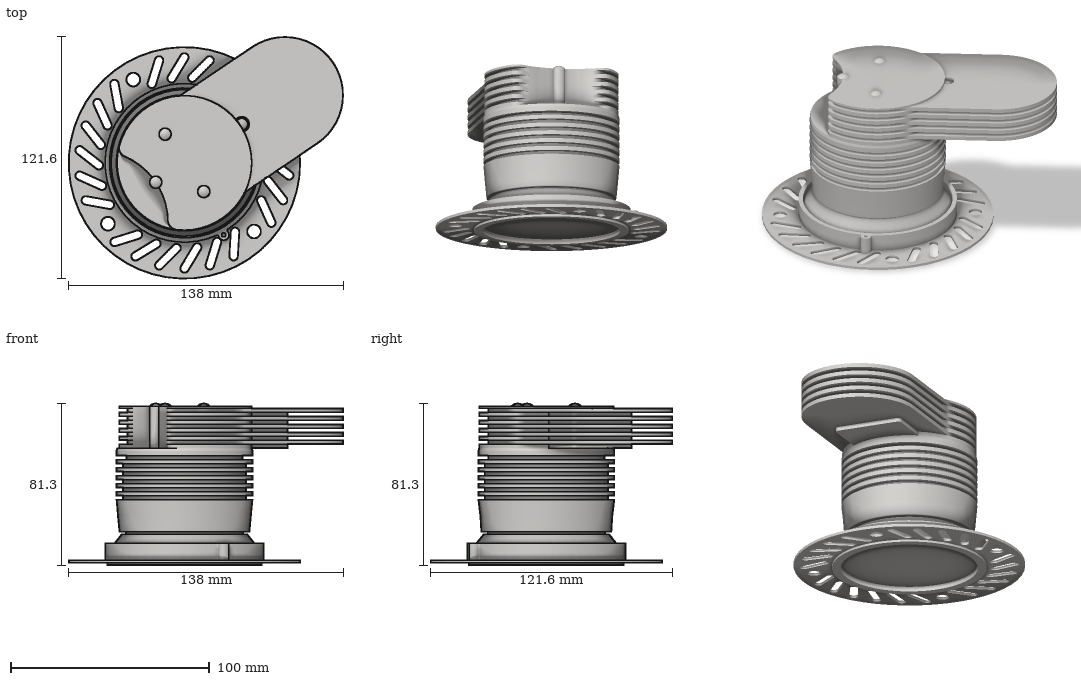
import cadquery as cq
import math

OVERALL_LENGTH = 138

FLANGE_R = 58.2
FLANGE_BOTTOM = 1.1
FLANGE_TOP = 2.5
RIM_R = 38.9
COLLAR_R = 39.9
COLLAR_TOP = 11.0
COLLAR_BORE_R = 37.7
LIP_BORE_R = 34.5

SLOT_POSITIONS = 26
SLOT_PITCH = 360 / SLOT_POSITIONS
FIRST_POSITION_ANGLE = 218.5
HOLE_POSITIONS = (0, 7, 13, 19)
SLOT_CENTRE_R = 47.9
SLOT_LENGTH = 16.4
SLOT_WIDTH = 4.1
SLOT_SKEW = 145
HOLE_CENTRE_R = 49.1
HOLE_D = 6.8

EAR_CENTRE_R = 41.3
EAR_ANGLE = -61.4
EAR_R = 2.6
EAR_HOLE_D = 2.1
EAR_FILLET = 0.8

CONE_BASE_R = 36.9
CONE_BASE_TOP = 8.8
CONE_TOP_R = 31.5
CONE_TOP = 15.6
NECK_R = 29.5
NECK_TOP = 16.7

BARREL_R = 34.2
BARREL_BOTTOM_R = 32.7
BARREL_BOTTOM_FILLET = 0.4
FINS_BOTTOM = 33.0
FIN_PITCH = 4.0
GAP_HEIGHT = FIN_PITCH / 2
GROOVE_COUNT = 6
GROOVE_R = 31.0
TOP_GROOVE_R = 29.3

HEAD_R = 33.8
HEAD_BOTTOM = 58.8
HEAD_TOP = 79.9
HEAD_LEVELS = 5
SHOULDER_CHAMFER_HEIGHT = 1.4

ARM_ANGLE = 34
ARM_R = 29.3
ARM_LENGTH = (OVERALL_LENGTH - FLANGE_R - ARM_R) / math.cos(math.radians(ARM_ANGLE))
SPACER_HALF_WIDTH = 18.0
SPACER_END = 51.5
SPACER_FILLET = 2.1

POCKET_R = 35.9
POCKET_DEPTH_R = 17.4
POCKET_CORNER_FILLET = 4.7

SCREW_R = 3.0
SCREW_HEIGHT = 1.4
SCREW_CIRCLE_R = 17.4
SCREW_ANGLES = (90, 180, 270)
ARM_SCREW_OFFSET = 34.8
ARM_SCREW_CLEARANCE_R = 3.7


def cylinder(radius, bottom, top, x=0, y=0):
    return cq.Workplane("XY", origin=(x, y, bottom)).circle(radius).extrude(top - bottom)


def polar(radius, angle):
    return radius * math.cos(math.radians(angle)), radius * math.sin(math.radians(angle))


def cut_flange_openings(ring):
    for position in range(SLOT_POSITIONS):
        angle = FIRST_POSITION_ANGLE + position * SLOT_PITCH
        if position in HOLE_POSITIONS:
            opening = cylinder(HOLE_D / 2, 0, FLANGE_TOP, *polar(HOLE_CENTRE_R, angle))
        else:
            opening = (
                cq.Workplane("XY")
                .slot2D(SLOT_LENGTH, SLOT_WIDTH, SLOT_SKEW)
                .extrude(FLANGE_TOP)
                .translate((SLOT_CENTRE_R, 0, 0))
                .rotate((0, 0, 0), (0, 0, 1), angle)
            )
        ring = ring.cut(opening)
    return ring


def make_trim_ring():
    ear_x, ear_y = polar(EAR_CENTRE_R, EAR_ANGLE)
    collar = cylinder(COLLAR_R, FLANGE_TOP, COLLAR_TOP)
    collar = collar.union(cylinder(EAR_R, FLANGE_TOP, COLLAR_TOP, ear_x, ear_y))
    collar = collar.edges("|Z").edges(
        cq.selectors.BoxSelector(
            (ear_x - 2 * EAR_R, ear_y - 2 * EAR_R, 0),
            (ear_x + 2 * EAR_R, ear_y + 2 * EAR_R, COLLAR_TOP),
        )
    ).fillet(EAR_FILLET)

    flange = cut_flange_openings(cylinder(FLANGE_R, FLANGE_BOTTOM, FLANGE_TOP))
    ring = cylinder(RIM_R, 0, FLANGE_BOTTOM).union(flange).union(collar)
    ring = ring.cut(cylinder(LIP_BORE_R, 0, FLANGE_TOP))
    ring = ring.cut(cylinder(COLLAR_BORE_R, FLANGE_TOP, COLLAR_TOP))
    return ring.cut(cylinder(EAR_HOLE_D / 2, FLANGE_TOP, COLLAR_TOP, ear_x, ear_y))


def make_cone():
    return (
        cq.Workplane("XZ")
        .moveTo(0, FLANGE_TOP)
        .lineTo(CONE_BASE_R, FLANGE_TOP)
        .lineTo(CONE_BASE_R, CONE_BASE_TOP)
        .lineTo(CONE_TOP_R, CONE_TOP)
        .lineTo(NECK_R, CONE_TOP)
        .lineTo(NECK_R, NECK_TOP)
        .lineTo(0, NECK_TOP)
        .close()
        .revolve(360, (0, 0), (0, 1))
    )


def make_barrel():
    barrel = (
        cq.Workplane("XZ")
        .moveTo(0, NECK_TOP)
        .lineTo(BARREL_BOTTOM_R, NECK_TOP)
        .lineTo(BARREL_R, FINS_BOTTOM)
        .lineTo(BARREL_R, HEAD_BOTTOM - SHOULDER_CHAMFER_HEIGHT)
        .lineTo(HEAD_R, HEAD_BOTTOM)
        .lineTo(0, HEAD_BOTTOM)
        .close()
        .revolve(360, (0, 0), (0, 1))
        .faces("<Z").edges().fillet(BARREL_BOTTOM_FILLET)
    )
    for groove in range(GROOVE_COUNT):
        bottom = FINS_BOTTOM + groove * FIN_PITCH
        floor_r = TOP_GROOVE_R if groove == GROOVE_COUNT - 1 else GROOVE_R
        band = cylinder(BARREL_R, bottom, bottom + GAP_HEIGHT)
        barrel = barrel.cut(band.cut(cylinder(floor_r, bottom, bottom + GAP_HEIGHT)))
    return barrel


def cut_pocket(layer, bottom, top):
    """Cut the concave pocket opposite the arm and round its two corners."""
    layer = layer.cut(cylinder(POCKET_R, bottom, top, -(POCKET_R + POCKET_DEPTH_R)))
    corners = cq.selectors.BoxSelector((-HEAD_R, -HEAD_R, bottom), (-POCKET_DEPTH_R, HEAD_R, top))
    return layer.edges("|Z").edges(corners).fillet(POCKET_CORNER_FILLET)


def head_disc(bottom, top):
    return cut_pocket(cylinder(HEAD_R, bottom, top), bottom, top)


def spacer_layer(bottom, top):
    """Round fin with the block that separates the arm plates."""
    block = (
        cq.Workplane("XY", origin=(SPACER_END / 2, 0, bottom))
        .rect(SPACER_END, 2 * SPACER_HALF_WIDTH)
        .extrude(top - bottom)
        .edges("|Z and >X").fillet(SPACER_FILLET)
    )
    return head_disc(bottom, top).union(block)


def arm_plate(bottom, top):
    plate = (
        cq.Workplane("XY", origin=(ARM_LENGTH / 2, 0, bottom))
        .slot2D(ARM_LENGTH + 2 * ARM_R, 2 * ARM_R)
        .extrude(top - bottom)
    )
    return cut_pocket(plate, bottom, top)


def screw_head(x, y, bottom):
    dome_r = (SCREW_R**2 + SCREW_HEIGHT**2) / (2 * SCREW_HEIGHT)
    dome = cq.Workplane("XY").sphere(dome_r).translate((x, y, bottom + SCREW_HEIGHT - dome_r))
    return dome.intersect(cylinder(SCREW_R, bottom, bottom + SCREW_HEIGHT, x, y))


def make_head():
    """Head with its arm along +X, turned to the arm direction at the end."""
    arm_top = HEAD_BOTTOM + HEAD_LEVELS * FIN_PITCH
    arm_screw_seat = arm_top - GAP_HEIGHT
    head = head_disc(arm_top, HEAD_TOP)
    for level in range(HEAD_LEVELS):
        bottom = HEAD_BOTTOM + level * FIN_PITCH
        middle = bottom + FIN_PITCH - GAP_HEIGHT
        head = head.union(spacer_layer(bottom, middle))
        head = head.union(arm_plate(middle, bottom + FIN_PITCH))

    screw_post = cylinder(SCREW_R, HEAD_BOTTOM, HEAD_TOP, -SCREW_CIRCLE_R)
    head = head.union(screw_post)
    for angle in SCREW_ANGLES:
        head = head.union(screw_head(*polar(SCREW_CIRCLE_R, angle), HEAD_TOP))
    head = head.cut(cylinder(ARM_SCREW_CLEARANCE_R, arm_screw_seat, arm_top, ARM_SCREW_OFFSET))
    head = head.union(screw_head(ARM_SCREW_OFFSET, 0, arm_screw_seat))
    return head.rotate((0, 0, 0), (0, 0, 1), ARM_ANGLE)


def make_lamp():
    return make_barrel().union(make_head())


trim_ring = make_trim_ring()
cone = make_cone()
lamp = make_lamp()

result = cq.Compound.makeCompound([trim_ring.val(), cone.val(), lamp.val()])